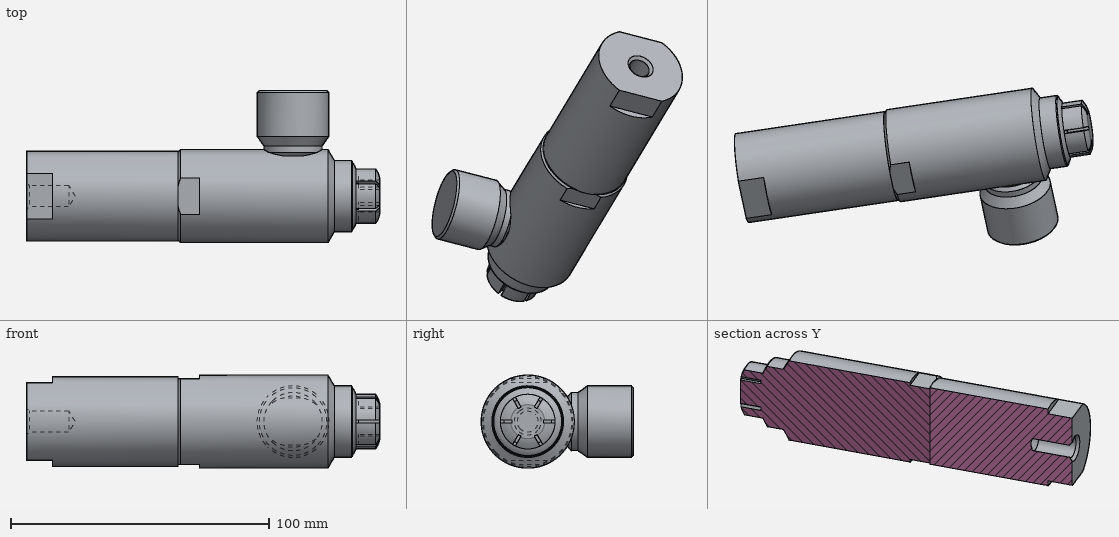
import cadquery as cq
import math

LENGTH = 136.9

SLEEVE_RADIUS = 34.9 / 2
SLEEVE_LENGTH = 58.7
SLEEVE_FLAT_LENGTH = 10.0
SLEEVE_ACROSS_FLATS = 30.1
HOLE_DIAMETER = 8.1
HOLE_MOUTH_DIAMETER = 10.4
HOLE_DEPTH = 16.5
DRILL_POINT_ANGLE = 118.0

BARREL_RADIUS = 36.1 / 2
BARREL_CHAMFER = 1.0
BARREL_END = 116.8
HOUSING_FLAT_END = 67.0
HOUSING_ACROSS_FLATS = 33.3

SHOULDER_END = 119.3
NOSE_RADIUS = 27.8 / 2
NOSE_END = 126.2
NOSE_CHAMFER = 0.4
DOME_BASE_RADIUS = 13.1
DOME_END = 127.6
DOME_BULGE = 0.1

COLLET_RADIUS = 21.2 / 2
COLLET_ROUNDING_START = 135.3
COLLET_FACE_RADIUS = 6.6
COLLET_ROUNDING_BULGE = 0.3
COLLET_SHANK_RADIUS = 18.5 / 2
COLLET_SHANK_END = 128.6
COLLET_CORE_RADIUS = 6.2
SLOT_COUNT = 6
SLOT_WIDTH = 1.2

PORT_X = 103.2
PORT_RADIUS = 27.8 / 2
PORT_END = 41.0
PORT_CHAMFER = 0.8
PORT_CONE_TOP = 23.1
PORT_CONE_BOTTOM = 19.5
PORT_NECK_RADIUS = 22.6 / 2
PORT_NECK_BOTTOM = 17.0
PORT_NECK_CHAMFER = 1.4


def bulged_midpoint(start, end, bulge):
    """Point beside the middle of a segment, moved outward (forward and away from the axis)."""
    run = end[0] - start[0]
    drop = start[1] - end[1]
    span = math.hypot(run, drop)
    return (
        (start[0] + end[0]) / 2 + bulge * drop / span,
        (start[1] + end[1]) / 2 + bulge * run / span,
    )


def revolve_about_x(profile):
    """Solid of revolution of an (x, radius) profile about the tool axis."""
    return profile.close().revolve(360, (0, 0, 0), (1, 0, 0))


def wrench_flats(start, end, across_flats, radius):
    """Material to remove above and below to leave two flats facing +Z and -Z."""
    depth = radius - across_flats / 2
    cutter = cq.Workplane("XY").box(end - start, 2 * radius, depth, centered=(False, True, False))
    upper = cutter.translate((start, 0, across_flats / 2))
    lower = cutter.translate((start, 0, -radius))
    return upper.union(lower)


def make_rear_hole():
    """Countersunk blind hole with a drill point, on the tool axis."""
    radius = HOLE_DIAMETER / 2
    mouth_radius = HOLE_MOUTH_DIAMETER / 2
    point_length = radius / math.tan(math.radians(DRILL_POINT_ANGLE / 2))
    profile = (
        cq.Workplane("XY")
        .lineTo(0, mouth_radius)
        .lineTo(mouth_radius - radius, radius)
        .lineTo(HOLE_DEPTH, radius)
        .lineTo(HOLE_DEPTH + point_length, 0)
    )
    return revolve_about_x(profile)


def make_sleeve():
    sleeve = cq.Workplane("YZ").circle(SLEEVE_RADIUS).extrude(SLEEVE_LENGTH)
    flats = wrench_flats(0, SLEEVE_FLAT_LENGTH, SLEEVE_ACROSS_FLATS, SLEEVE_RADIUS)
    return sleeve.cut(flats).cut(make_rear_hole())


def make_turned_housing():
    """Barrel, shoulder cone, nose, dome and unslotted collet as one turned shape."""
    dome_start = (NOSE_END, DOME_BASE_RADIUS)
    dome_end = (DOME_END, COLLET_RADIUS)
    rounding_start = (COLLET_ROUNDING_START, COLLET_RADIUS)
    rounding_end = (LENGTH, COLLET_FACE_RADIUS)
    profile = (
        cq.Workplane("XY")
        .moveTo(SLEEVE_LENGTH, 0)
        .lineTo(SLEEVE_LENGTH, BARREL_RADIUS - BARREL_CHAMFER)
        .lineTo(SLEEVE_LENGTH + BARREL_CHAMFER, BARREL_RADIUS)
        .lineTo(BARREL_END, BARREL_RADIUS)
        .lineTo(SHOULDER_END, NOSE_RADIUS)
        .lineTo(NOSE_END - NOSE_CHAMFER, NOSE_RADIUS)
        .lineTo(NOSE_END, NOSE_RADIUS - NOSE_CHAMFER)
        .lineTo(*dome_start)
        .threePointArc(bulged_midpoint(dome_start, dome_end, DOME_BULGE), dome_end)
        .lineTo(*rounding_start)
        .threePointArc(
            bulged_midpoint(rounding_start, rounding_end, COLLET_ROUNDING_BULGE), rounding_end
        )
        .lineTo(LENGTH, 0)
    )
    return revolve_about_x(profile)


def make_port():
    """Side port: chamfered cylinder, cone and narrower neck that runs into the barrel."""
    neck_tip = PORT_NECK_BOTTOM - PORT_NECK_CHAMFER
    return (
        cq.Workplane("XY")
        .moveTo(PORT_X, neck_tip)
        .lineTo(PORT_X + PORT_NECK_RADIUS - PORT_NECK_CHAMFER, neck_tip)
        .lineTo(PORT_X + PORT_NECK_RADIUS, PORT_NECK_BOTTOM)
        .lineTo(PORT_X + PORT_NECK_RADIUS, PORT_CONE_BOTTOM)
        .lineTo(PORT_X + PORT_RADIUS, PORT_CONE_TOP)
        .lineTo(PORT_X + PORT_RADIUS, PORT_END - PORT_CHAMFER)
        .lineTo(PORT_X + PORT_RADIUS - PORT_CHAMFER, PORT_END)
        .lineTo(PORT_X, PORT_END)
        .close()
        .revolve(360, (PORT_X, 0, 0), (PORT_X, 1, 0))
    )


def make_slot(start, floor_radius):
    """Cutter for one radial slot, from `start` to the front face, with its floor at `floor_radius`."""
    depth = COLLET_RADIUS - floor_radius
    cutter = cq.Workplane("XY").box(LENGTH - start, depth, SLOT_WIDTH, centered=(False, False, True))
    return cutter.translate((start, floor_radius, 0))


def cut_collet_slots(housing):
    """Evenly spaced slots along the collet, shallow over the shank and deep in front of it."""
    slot = make_slot(DOME_END, COLLET_SHANK_RADIUS).union(make_slot(COLLET_SHANK_END, COLLET_CORE_RADIUS))
    for index in range(SLOT_COUNT):
        housing = housing.cut(slot.rotate((0, 0, 0), (1, 0, 0), index * 360 / SLOT_COUNT))
    return housing


def make_housing():
    housing = make_turned_housing().union(make_port())
    housing = housing.cut(
        wrench_flats(SLEEVE_LENGTH, HOUSING_FLAT_END, HOUSING_ACROSS_FLATS, BARREL_RADIUS)
    )
    return cut_collet_slots(housing)


sleeve = make_sleeve()
housing = make_housing()

result = cq.Compound.makeCompound([sleeve.val(), housing.val()])